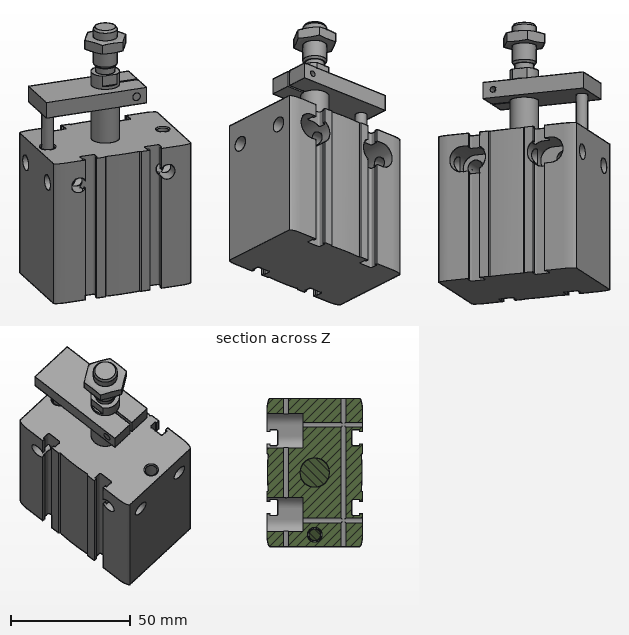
import cadquery as cq
import math

BODY_WIDTH = 40.0
BODY_DEPTH = 62.0
BODY_HEIGHT = 62.9
TOTAL_HEIGHT = 113.0
HALF_WIDTH = BODY_WIDTH / 2
HALF_DEPTH = BODY_DEPTH / 2

FLANK_CURVE_LENGTH = 4.6
FLANK_CURVE_DROP = 0.6
CORNER_LENGTH = 1.0
CORNER_INSET = 1.2
CORNER_BULGE = 0.06

BOW_HALF_WIDTH = 7.0
BOW_GROOVE_HALF_WIDTH = 8.1
BOW_DROP = 0.5
BOW_CREST_DROP = 0.17
BOW_GROOVE_DEPTH = 0.6

SLOT_POSITION = 14.6
SLOT_MOUTH = 5.1
SLOT_WIDTH = 6.5
SLOT_LIP = 1.4
SLOT_DEPTH = 4.5
SLOT_CORNER_RADIUS = 0.6

CROSS_HOLE_DIAMETER = 6.5
CROSS_HOLE_Z = BODY_HEIGHT - 11.0
FRONT_HOLE_X = 12.0
SIDE_HOLE_Y = 20.0
HEAD_RECESS_WIDTH = 11.0
HEAD_RECESS_INNER_Y = 14.9
HEAD_RECESS_DEPTH = 15.0

TOP_HOLE_Y = 26.0
TOP_HOLE_CHAMFER = 0.51
PORT_DIAMETER = 5.0
PORT_DEPTH = 10.2
DRILL_POINT_ANGLE = 118.0
GUIDE_HOLE_DIAMETER = 6.0
GUIDE_DEPTH = 28.2

ROD_DIAMETER = 12.0
ROD_DEPTH = 28.2
SHOULDER_Z = 93.0
FLAT_HEIGHT = 4.5
FLAT_SPACING = 10.1
NECK_DIAMETER = 8.0
THREAD_DIAMETER = 10.1
THREAD_BOTTOM_Z = 95.7
THREAD_CHAMFER = 1.0
THREAD_CHAMFER_INSET = 0.7

NUT_BOTTOM_Z = 103.8
NUT_THICKNESS = 4.7
NUT_ACROSS_FLATS = 16.0
NUT_FACE_DIAMETER = 14.5
NUT_CORNER_DROP = 0.5

PLATE_WIDTH = 20.0
PLATE_BACK_Y = 14.6
PLATE_FRONT_Y = -30.6
PLATE_BOTTOM_Z = 80.1
PLATE_THICKNESS = 7.0
SLIT_WIDTH = 1.0

SCREW_Y = 10.1
SCREW_Z = PLATE_BOTTOM_Z + PLATE_THICKNESS / 2
SCREW_DIAMETER = 3.4
SCREW_PILOT_DIAMETER = 2.5
SCREW_TIP_X = -PLATE_WIDTH / 4

GUIDE_DIAMETER = 5.0
GUIDE_PLATE_DEPTH = GUIDE_DIAMETER


def cylinder(diameter, bottom, top, y=0.0):
    """Upright cylinder between two heights."""
    return cq.Workplane("XY", origin=(0, y, bottom)).circle(diameter / 2).extrude(top - bottom)


def x_cylinder(diameter, start, end, y, z):
    """Cylinder along X between two X positions."""
    return cq.Workplane("YZ", origin=(start, y, z)).circle(diameter / 2).extrude(end - start)


def cone_frustum(bottom_radius, top_radius, bottom, top, y=0.0):
    """Upright cone or frustum between two heights."""
    solid = cq.Solid.makeCone(bottom_radius, top_radius, top - bottom, cq.Vector(0, y, bottom))
    return cq.Workplane(obj=solid)


def body_block():
    """Block with bowed flanks and rounded corners."""
    end_x = HALF_WIDTH - CORNER_INSET
    corner_x = HALF_WIDTH - FLANK_CURVE_DROP
    corner_y = HALF_DEPTH - CORNER_LENGTH
    curve_y = HALF_DEPTH - FLANK_CURVE_LENGTH
    curve_mid = (HALF_WIDTH - FLANK_CURVE_DROP / 4, (corner_y + curve_y) / 2)
    corner_mid = ((end_x + corner_x) / 2 + CORNER_BULGE, HALF_DEPTH - CORNER_LENGTH / 2 + CORNER_BULGE)
    bow_x = HALF_WIDTH - BOW_DROP
    groove_x = HALF_WIDTH - BOW_GROOVE_DEPTH
    groove_y = (BOW_HALF_WIDTH + BOW_GROOVE_HALF_WIDTH) / 2

    def flip(point):
        """Mirror an outline point to the -Y half."""
        return (point[0], -point[1])

    half_block = (
        cq.Workplane("XY")
        .moveTo(0, -HALF_DEPTH)
        .lineTo(end_x, -HALF_DEPTH)
        .threePointArc(flip(corner_mid), (corner_x, -corner_y))
        .threePointArc(flip(curve_mid), (HALF_WIDTH, -curve_y))
        .lineTo(HALF_WIDTH, -BOW_GROOVE_HALF_WIDTH)
        .lineTo(groove_x, -groove_y)
        .lineTo(bow_x, -BOW_HALF_WIDTH)
        .threePointArc((HALF_WIDTH - BOW_CREST_DROP, 0), (bow_x, BOW_HALF_WIDTH))
        .lineTo(groove_x, groove_y)
        .lineTo(HALF_WIDTH, BOW_GROOVE_HALF_WIDTH)
        .lineTo(HALF_WIDTH, curve_y)
        .threePointArc(curve_mid, (corner_x, corner_y))
        .threePointArc(corner_mid, (end_x, HALF_DEPTH))
        .lineTo(0, HALF_DEPTH)
        .close()
        .extrude(BODY_HEIGHT)
    )
    return half_block.union(half_block.mirror("YZ"))


def t_slot(side, y):
    """Cutter for one T-slot; side is -1 or 1 for the -X or +X flank."""
    mouth = (
        cq.Workplane("XY")
        .center(side * (HALF_WIDTH - SLOT_DEPTH / 2), y)
        .rect(SLOT_DEPTH, SLOT_MOUTH)
        .extrude(BODY_HEIGHT)
    )
    inner_side = "<X" if side > 0 else ">X"
    channel = (
        cq.Workplane("XY")
        .center(side * (HALF_WIDTH - (SLOT_LIP + SLOT_DEPTH) / 2), y)
        .rect(SLOT_DEPTH - SLOT_LIP, SLOT_WIDTH)
        .extrude(BODY_HEIGHT)
        .faces(inner_side)
        .edges("|Z")
        .fillet(SLOT_CORNER_RADIUS)
    )
    return mouth.union(channel)


def head_recess(end):
    """Cutter for one elongated screw-head recess in the -X flank; end is -1 or 1."""
    length = SIDE_HOLE_Y - HEAD_RECESS_INNER_Y + HEAD_RECESS_WIDTH
    centre_y = end * (SIDE_HOLE_Y + HEAD_RECESS_INNER_Y) / 2
    return (
        cq.Workplane("YZ", origin=(-HALF_WIDTH, centre_y, CROSS_HOLE_Z))
        .slot2D(length, HEAD_RECESS_WIDTH)
        .extrude(HEAD_RECESS_DEPTH)
    )


def top_hole_chamfer(diameter, y):
    """Cutter for the chamfer at the mouth of a hole in the top face."""
    radius = diameter / 2
    return cone_frustum(radius, radius + TOP_HOLE_CHAMFER, BODY_HEIGHT - TOP_HOLE_CHAMFER, BODY_HEIGHT, y)


def port():
    """Cutter for the drilled port, with its conical bottom."""
    bottom = BODY_HEIGHT - PORT_DEPTH
    point_depth = PORT_DIAMETER / 2 / math.tan(math.radians(DRILL_POINT_ANGLE / 2))
    bore = cylinder(PORT_DIAMETER, bottom, BODY_HEIGHT, TOP_HOLE_Y)
    point = cone_frustum(0, PORT_DIAMETER / 2, bottom - point_depth, bottom, TOP_HOLE_Y)
    return bore.union(point).union(top_hole_chamfer(PORT_DIAMETER, TOP_HOLE_Y))


def make_housing():
    """Block with T-slots, mounting holes and the holes in its top face."""
    housing = body_block()
    for side in (-1, 1):
        front_hole = (
            cq.Workplane("XZ", origin=(side * FRONT_HOLE_X, HALF_DEPTH, CROSS_HOLE_Z))
            .circle(CROSS_HOLE_DIAMETER / 2)
            .extrude(BODY_DEPTH)
        )
        housing = housing.cut(front_hole)
        for end in (-1, 1):
            housing = housing.cut(t_slot(side, end * SLOT_POSITION))
    for end in (-1, 1):
        side_hole = x_cylinder(CROSS_HOLE_DIAMETER, -HALF_WIDTH, HALF_WIDTH, end * SIDE_HOLE_Y, CROSS_HOLE_Z)
        housing = housing.cut(side_hole).cut(head_recess(end))
    guide_hole = cylinder(GUIDE_HOLE_DIAMETER, BODY_HEIGHT - GUIDE_DEPTH, BODY_HEIGHT, -TOP_HOLE_Y)
    rod_bore = cylinder(ROD_DIAMETER, BODY_HEIGHT - ROD_DEPTH, BODY_HEIGHT)
    return (
        housing.cut(port())
        .cut(guide_hole)
        .cut(top_hole_chamfer(GUIDE_HOLE_DIAMETER, -TOP_HOLE_Y))
        .cut(rod_bore)
    )


def make_rod():
    """Piston rod with wrench flats, a neck and a threaded end with chamfered ends."""
    thread_radius = THREAD_DIAMETER / 2
    profile = [
        (0, BODY_HEIGHT - ROD_DEPTH),
        (ROD_DIAMETER / 2, BODY_HEIGHT - ROD_DEPTH),
        (ROD_DIAMETER / 2, SHOULDER_Z),
        (NECK_DIAMETER / 2, SHOULDER_Z),
        (NECK_DIAMETER / 2, THREAD_BOTTOM_Z),
        (thread_radius - THREAD_CHAMFER_INSET, THREAD_BOTTOM_Z),
        (thread_radius, THREAD_BOTTOM_Z + THREAD_CHAMFER),
        (thread_radius, TOTAL_HEIGHT - THREAD_CHAMFER),
        (thread_radius - THREAD_CHAMFER_INSET, TOTAL_HEIGHT),
        (0, TOTAL_HEIGHT),
    ]
    rod = cq.Workplane("XZ").polyline(profile).close().revolve(360, (0, 0, 0), (0, 1, 0))
    for side in (-1, 1):
        flat_cut = cq.Workplane("XY").box(
            ROD_DIAMETER, ROD_DIAMETER, FLAT_HEIGHT, centered=(True, True, False)
        )
        flat_x = side * (FLAT_SPACING + ROD_DIAMETER) / 2
        rod = rod.cut(flat_cut.translate((flat_x, 0, SHOULDER_Z - FLAT_HEIGHT)))
    return rod


def make_nut():
    """Hexagon nut with two corners on the Y axis and conical chamfers on both faces."""
    corner_radius = NUT_ACROSS_FLATS / 2 / math.cos(math.radians(30))
    face_radius = NUT_FACE_DIAMETER / 2
    top = NUT_BOTTOM_Z + NUT_THICKNESS
    hexagon = (
        cq.Workplane("XY", origin=(0, 0, NUT_BOTTOM_Z))
        .polygon(6, 2 * corner_radius)
        .extrude(NUT_THICKNESS)
        .rotate((0, 0, 0), (0, 0, 1), 30)
    )
    envelope_profile = [
        (0, NUT_BOTTOM_Z),
        (face_radius, NUT_BOTTOM_Z),
        (corner_radius, NUT_BOTTOM_Z + NUT_CORNER_DROP),
        (corner_radius, top - NUT_CORNER_DROP),
        (face_radius, top),
        (0, top),
    ]
    envelope = cq.Workplane("XZ").polyline(envelope_profile).close().revolve(360, (0, 0, 0), (0, 1, 0))
    return hexagon.intersect(envelope).cut(cylinder(THREAD_DIAMETER, NUT_BOTTOM_Z, top))


def make_plate():
    """Clamp plate, slit from its back edge to the rod bore."""
    top = PLATE_BOTTOM_Z + PLATE_THICKNESS
    half_width = PLATE_WIDTH / 2
    plate = cq.Workplane("XY").box(
        PLATE_WIDTH, PLATE_BACK_Y - PLATE_FRONT_Y, PLATE_THICKNESS, centered=(True, False, False)
    ).translate((0, PLATE_FRONT_Y, PLATE_BOTTOM_Z))
    slit = cq.Workplane("XY").box(
        SLIT_WIDTH, PLATE_BACK_Y, PLATE_THICKNESS, centered=(True, False, False)
    ).translate((0, 0, PLATE_BOTTOM_Z))
    return (
        plate.cut(slit)
        .cut(cylinder(ROD_DIAMETER, PLATE_BOTTOM_Z, top))
        .cut(cylinder(GUIDE_DIAMETER, PLATE_BOTTOM_Z, PLATE_BOTTOM_Z + GUIDE_PLATE_DEPTH, -TOP_HOLE_Y))
        .cut(x_cylinder(SCREW_PILOT_DIAMETER, -half_width, SCREW_TIP_X, SCREW_Y, SCREW_Z))
        .cut(x_cylinder(SCREW_DIAMETER, SCREW_TIP_X, half_width, SCREW_Y, SCREW_Z))
    )


def make_clamp_screw():
    """Plain screw body, flush with the +X side of the plate."""
    return x_cylinder(SCREW_DIAMETER, SCREW_TIP_X, PLATE_WIDTH / 2, SCREW_Y, SCREW_Z)


def make_guide_pin():
    """Pin from the plate down into the guide hole."""
    return cylinder(
        GUIDE_DIAMETER, BODY_HEIGHT - GUIDE_DEPTH, PLATE_BOTTOM_Z + GUIDE_PLATE_DEPTH, -TOP_HOLE_Y
    )


housing = make_housing()
piston_rod = make_rod()
nut = make_nut()
clamp_plate = make_plate()
clamp_screw = make_clamp_screw()
guide_pin = make_guide_pin()

result = cq.Compound.makeCompound(
    [
        housing.val(),
        piston_rod.val(),
        nut.val(),
        clamp_plate.val(),
        clamp_screw.val(),
        guide_pin.val(),
    ]
)